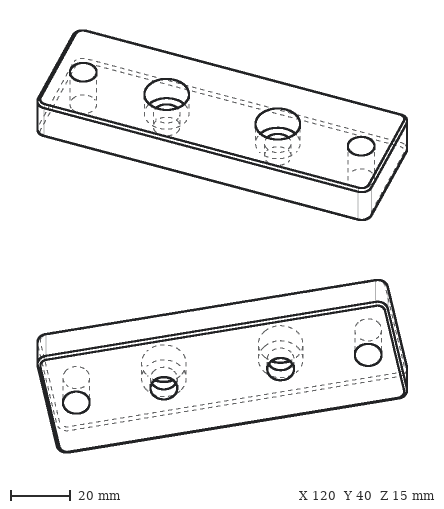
import cadquery as cq

length = 120
width = length / 3
height = length / 8
corner_radius = 3.5
edge_chamfer = 1.0

hole_diameter = 9.0
bore_diameter = 15.0
bore_depth = 9.0
outer_hole_spacing = length * 5 / 6
inner_hole_spacing = length / 3


def plate():
    """Rounded plate with both rims chamfered, resting on Z = 0."""
    blank = cq.Workplane("XY").box(length, width, height, centered=(True, True, False))
    rounded = blank.edges("|Z").fillet(corner_radius)
    return rounded.faces("<Z or >Z").edges().chamfer(edge_chamfer)


def hole_pair(spacing):
    """Hole centres mirrored about the middle of the plate."""
    return [(-spacing / 2, 0), (spacing / 2, 0)]


result = (
    plate()
    .faces(">Z")
    .workplane(origin=(0, 0, height))
    .pushPoints(hole_pair(outer_hole_spacing))
    .hole(hole_diameter)
    .faces(">Z")
    .workplane(origin=(0, 0, height))
    .pushPoints(hole_pair(inner_hole_spacing))
    .cboreHole(hole_diameter, bore_diameter, bore_depth)
)